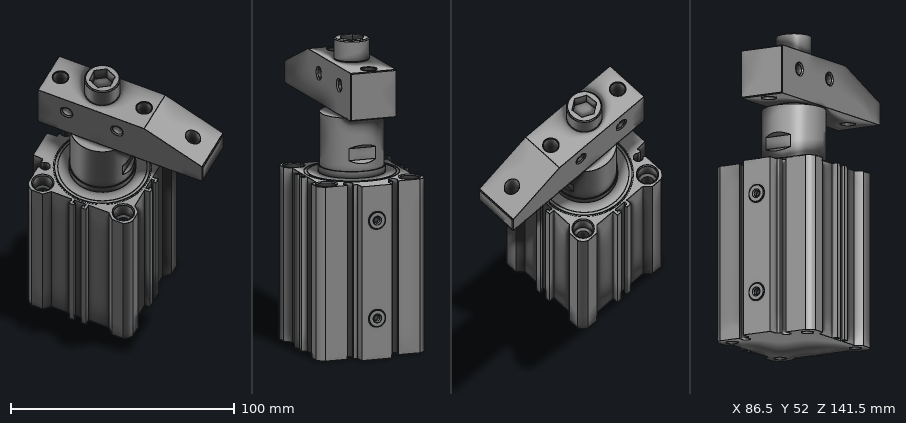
import cadquery as cq
import math

barrel_width = 52.0
barrel_height = 80.0
half_width = barrel_width / 2

wall_offset = 23.0
post_inset = half_width - wall_offset
post_inner_edge = 17.2
post_outer_edge = 22.7
bolt_pitch = 40.0
bolt_hole_dia = 5.5
counterbore_dia = 9.0
counterbore_mouth_dia = 10.0
counterbore_depth = 7.0

post_corner_radius = math.hypot(half_width - bolt_pitch / 2, post_outer_edge - bolt_pitch / 2)

pad_face = 31.0
pad_tip_half = 7.1
pad_root_half = 7.5

groove_y = 10.8
groove_opening = 3.0
groove_dia = 4.2
groove_bottom = 21.0

rail_outer = 4.2
rail_thickness = 1.35
rail_lip_inner = 1.7
rail_tip = 25.7
rail_lip_height = 1.3

cover_dia = 44.0
cover_neck_dia = 42.8
cover_neck_height = 0.5
cover_face_dia = 40.0
cover_rim_drop = 0.1
cover_thickness = 10.0

rod_dia = 29.0
collar_dia = 30.0
collar_top = 83.0
rod_top = 107.5
spigot_dia = 16.0
flats_width = 26.0
flats_bottom = 88.0
flats_height = 5.5

arm_bottom = 109.5
arm_size = 22.0
arm_back = -27.0
arm_tip = 55.0
arm_slope_start = 26.0
arm_tip_height = 10.0
arm_end_chamfer = 0.4
cross_hole_dia = 5.0
cross_hole_mouth_dia = 6.2
cross_hole_pitch = 25.0
cross_hole_drop = 8.5
thread_hole_dia = 6.8
thread_mouth_dia = 7.4
thread_hole_offset = 20.75
tip_hole_dia = 6.8
tip_hole_x = 45.0

head_dia = 16.0
head_height = 10.0
head_chamfer = 0.5
shank_dia = 10.0
shank_below_arm = 15.0
hex_flats = 10.0
hex_depth = 6.0
hex_turn = 5.0

plug_heights = (19.0, 64.0)
plug_dia = 8.2
plug_proud = 0.45
plug_chamfer = 0.35
plug_insertion = 5.0
plug_hole_dia = 2.81
plug_hole_mouth_dia = 4.0
plug_hole_depth = 2.5

cover_bottom = barrel_height - cover_thickness
cover_shoulder = barrel_height - cover_neck_height
arm_top = arm_bottom + arm_size


def cylinder(dia, bottom, top):
    return cq.Workplane("XY").workplane(offset=bottom).circle(dia / 2).extrude(top - bottom)


def cone_mouth(mouth_dia, hole_dia):
    """45-degree countersink cone at the origin, opening toward +Z."""
    depth = (mouth_dia - hole_dia) / 2
    return cq.Solid.makeCone(hole_dia / 2, mouth_dia / 2, depth, pnt=cq.Vector(0, 0, -depth))


def quarter_block(sign_x, sign_y):
    centre = bolt_pitch / 2
    diagonal = centre + post_corner_radius / math.sqrt(2)
    foot = post_inner_edge - post_inset

    def at(x, y):
        return (sign_x * x, sign_y * y)

    return (
        cq.Workplane("XY")
        .moveTo(*at(0, 0))
        .lineTo(*at(wall_offset, 0))
        .lineTo(*at(wall_offset, foot))
        .lineTo(*at(half_width, post_inner_edge))
        .lineTo(*at(half_width, post_outer_edge))
        .threePointArc(at(diagonal, diagonal), at(post_outer_edge, half_width))
        .lineTo(*at(post_inner_edge, half_width))
        .lineTo(*at(foot, wall_offset))
        .lineTo(*at(0, wall_offset))
        .close()
        .extrude(barrel_height)
    )


def port_pad():
    slab = cq.Workplane("XY").box(
        post_inset, 2 * post_inner_edge, barrel_height, centered=(False, True, False)
    )
    pad = (
        cq.Workplane("XY")
        .polyline([
            (-half_width, -pad_root_half),
            (-half_width, pad_root_half),
            (-pad_face, pad_tip_half),
            (-pad_face, -pad_tip_half),
        ])
        .close()
        .extrude(barrel_height)
    )
    return slab.translate((-half_width, 0, 0)).union(pad)


def sensor_groove(sign_y):
    radius = groove_dia / 2
    centre_x = -groove_bottom - radius
    opening = cq.Workplane("XY").box(
        half_width + centre_x, groove_opening, barrel_height, centered=(False, True, False)
    )
    opening = opening.translate((-half_width, 0, 0))
    channel = cylinder(groove_dia, 0, barrel_height).translate((centre_x, 0, 0))
    return opening.union(channel).translate((0, sign_y * groove_y, 0))


def sensor_rail_pair():
    """Two hooked rails facing each other on the +Y wall."""
    hook = [
        (rail_outer, wall_offset),
        (rail_outer, rail_tip),
        (rail_lip_inner, rail_tip),
        (rail_lip_inner, rail_tip - rail_lip_height),
        (rail_outer - rail_thickness, rail_tip - rail_lip_height),
        (rail_outer - rail_thickness, wall_offset),
    ]
    rail = cq.Workplane("XY").polyline(hook).close().extrude(barrel_height)
    return rail.add(rail.mirror("YZ"))


def bolt_hole():
    hole = cylinder(bolt_hole_dia, 0, barrel_height)
    bore = cylinder(counterbore_dia, barrel_height - counterbore_depth, barrel_height)
    mouth = cone_mouth(counterbore_mouth_dia, counterbore_dia).translate(cq.Vector(0, 0, barrel_height))
    return hole.union(bore).union(cq.Workplane(mouth))


def make_barrel():
    corners = [(sx, sy) for sx in (-1, 1) for sy in (-1, 1)]
    barrel = port_pad()
    for sign_x, sign_y in corners:
        barrel = barrel.union(quarter_block(sign_x, sign_y))
    for wall_angle in (0, 180, -90):
        for rail in sensor_rail_pair().vals():
            turned_rail = rail.rotate(cq.Vector(0, 0, 0), cq.Vector(0, 0, 1), wall_angle)
            barrel = barrel.union(cq.Workplane(turned_rail))
    for sign_x, sign_y in corners:
        place = (sign_x * bolt_pitch / 2, sign_y * bolt_pitch / 2, 0)
        barrel = barrel.cut(bolt_hole().translate(place))
    for sign_y in (-1, 1):
        barrel = barrel.cut(sensor_groove(sign_y))
    barrel = barrel.cut(cylinder(cover_dia, cover_bottom, cover_shoulder))
    barrel = barrel.cut(cylinder(cover_neck_dia, cover_shoulder, barrel_height))
    for height in plug_heights:
        barrel = barrel.cut(plug_blank(height))
    return barrel


def make_cover():
    rim_top = barrel_height - cover_rim_drop
    cover = cylinder(cover_dia, cover_bottom, cover_shoulder)
    cover = cover.union(cylinder(cover_neck_dia, cover_shoulder, rim_top))
    cover = cover.union(cylinder(cover_face_dia, rim_top, barrel_height))
    return cover.cut(cylinder(collar_dia, cover_bottom, barrel_height))


def make_rod():
    rod = cylinder(collar_dia, cover_bottom, collar_top)
    rod = rod.union(cylinder(rod_dia, collar_top, rod_top))
    rod = rod.union(cylinder(spigot_dia, rod_top, arm_bottom))
    flare = (rod_dia - flats_width) / 2
    for sign_x in (-1, 1):
        notch = (
            cq.Workplane("XZ")
            .polyline([
                (sign_x * flats_width / 2, flats_bottom),
                (sign_x * rod_dia / 2, flats_bottom - flare),
                (sign_x * rod_dia / 2, flats_bottom + flats_height + flare),
                (sign_x * flats_width / 2, flats_bottom + flats_height),
            ])
            .close()
            .extrude(rod_dia / 2, both=True)
        )
        rod = rod.cut(notch)
    return rod.cut(cylinder(shank_dia, arm_bottom - shank_below_arm, arm_bottom))


def make_arm():
    arm = (
        cq.Workplane("XZ")
        .polyline([
            (arm_back, arm_bottom),
            (arm_tip, arm_bottom),
            (arm_tip, arm_bottom + arm_tip_height),
            (arm_slope_start, arm_top),
            (arm_back, arm_top),
        ])
        .close()
        .extrude(arm_size / 2, both=True)
        .faces("<X or >X")
        .chamfer(arm_end_chamfer)
    )
    arm = arm.cut(cylinder(shank_dia, arm_bottom, arm_top))
    arm = arm.cut(cylinder(tip_hole_dia, arm_bottom, arm_top).translate((tip_hole_x, 0, 0)))
    for x in (-thread_hole_offset, thread_hole_offset):
        arm = arm.cut(cylinder(thread_hole_dia, arm_bottom, arm_top).translate((x, 0, 0)))
        mouth = cone_mouth(thread_mouth_dia, thread_hole_dia).translate(cq.Vector(x, 0, arm_top))
        arm = arm.cut(cq.Workplane(mouth))
    for x in (-cross_hole_pitch / 2, cross_hole_pitch / 2):
        place = (x, 0, arm_top - cross_hole_drop)
        hole = cq.Workplane("XZ").circle(cross_hole_dia / 2).extrude(arm_size / 2, both=True)
        arm = arm.cut(hole.translate(place))
        for angle in (-90, 90):
            mouth = cq.Workplane(cone_mouth(cross_hole_mouth_dia, cross_hole_dia))
            mouth = mouth.translate((0, 0, arm_size / 2)).rotate((0, 0, 0), (1, 0, 0), angle)
            arm = arm.cut(mouth.translate(place))
    return arm


def make_bolt():
    top = arm_top + head_height
    head = cylinder(head_dia, arm_top, top).faces("<Z or >Z").chamfer(head_chamfer)
    socket = (
        cq.Workplane("XY")
        .workplane(offset=top - hex_depth)
        .polygon(6, hex_flats, circumscribed=True)
        .extrude(hex_depth)
        .rotate((0, 0, 0), (0, 0, 1), hex_turn)
    )
    shank = cylinder(shank_dia, arm_bottom - shank_below_arm, arm_top)
    return head.cut(socket).union(shank)


def plug_blank(height):
    blank = cq.Workplane("YZ").circle(plug_dia / 2).extrude(plug_insertion + plug_proud)
    return blank.translate((-pad_face - plug_proud, 0, height))


def make_plug(height):
    plug = plug_blank(height).faces("<X").chamfer(plug_chamfer)
    face_x = -pad_face - plug_proud
    hole = cq.Workplane("YZ").circle(plug_hole_dia / 2).extrude(plug_hole_depth)
    mouth = cq.Workplane(cone_mouth(plug_hole_mouth_dia, plug_hole_dia)).rotate((0, 0, 0), (0, 1, 0), -90)
    return plug.cut(hole.union(mouth).translate((face_x, 0, height)))


barrel = make_barrel()
cover = make_cover()
rod = make_rod()
arm = make_arm()
bolt = make_bolt()
plugs = [make_plug(height) for height in plug_heights]

result = cq.Compound.makeCompound(
    [barrel.val(), cover.val(), rod.val(), arm.val(), bolt.val(), *[plug.val() for plug in plugs]]
)